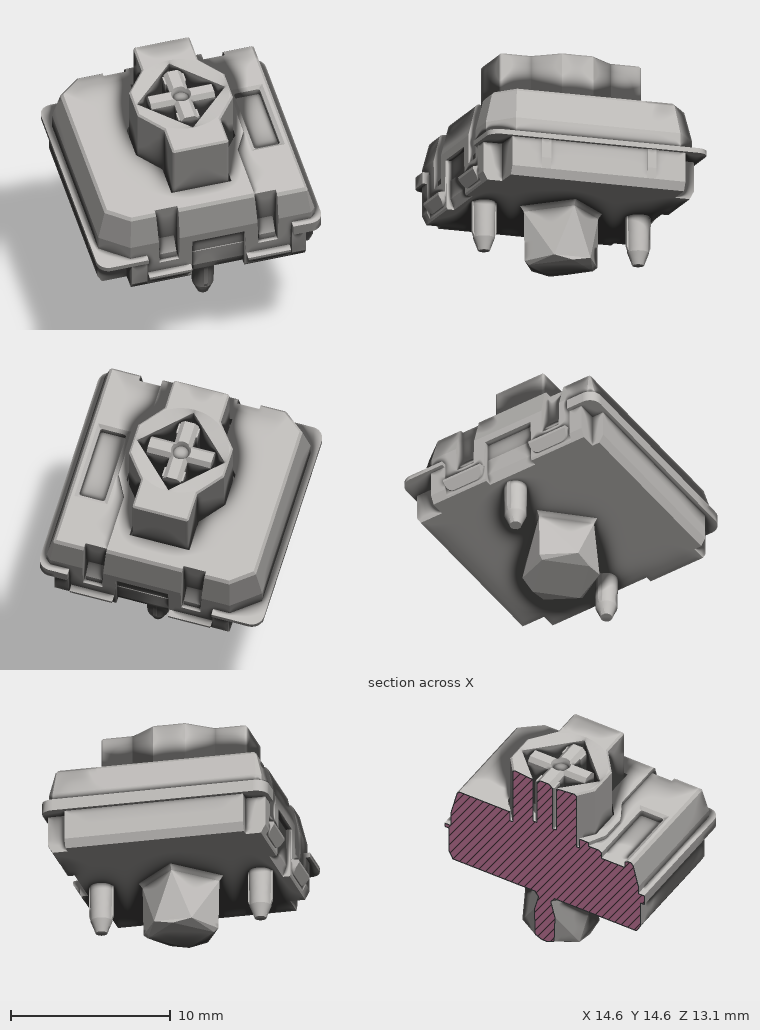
import cadquery as cq
import math


FLANGE_SIZE = 14.6
FLANGE_THICK = 0.3
FLANGE_CORNER = 0.8
REAR_LIP_TOP = 0.75

BASE_HALF_X = 7.02
BASE_HALF_Y = 7.01
BASE_BOTTOM = -2.42
BASE_CHAMFER_TOP = -1.88
BASE_CHAMFER_INSET = 0.29

COVER_HALF = 6.88
COVER_KNEE = 1.28
COVER_TOP = 3.35
STEP_DEPTH = 0.29
STEP_Y = 3.04
WALL_LEAN = 3.2 / 12.9
TOP_CHAMFER = 0.18

LATCH_CENTRES = (3.77, -2.64)
LATCH_HALF = 1.5
LATCH_WALL_X = 6.8
LEG_BOTTOM = -1.24
RECESS_X = 6.48
HOOK_BOTTOM = -2.12
NOTCH_X = 6.03
NOTCH_FLOOR = -0.55

STEM_TOP = 6.89
STEM_CHAMFER = 0.12
BAR_HALF_X = 4.72
BAR_HALF_Y = 1.82
BARREL_HALF_Y = 3.1
STEM_GAP = 0.13
GAP_DEPTH = 0.73
DISH_RADIUS = 3.01
BORE_RADIUS = 2.86

PEG_BOTTOM = -6.2
PIN_X = 5.14
PIN_TIP = -5.56



def prism(points, bottom, top):
    """Closed XY outline extruded between two heights."""
    return cq.Workplane("XY").workplane(offset=bottom).polyline(points).close().extrude(top - bottom)


def leaning_prism(points, bottom, top, inset):
    """Closed XY outline whose sides lean inward by the inset between two heights; top may be below bottom."""
    start = cq.Workplane("XY").workplane(offset=bottom).polyline(points).close()
    lean = math.degrees(math.atan2(inset, abs(top - bottom)))
    return start.extrude(top - bottom, taper=lean)


def inset_outline(half_x, half_y, front_cut_x, front_cut_y, rear_cut):
    """Rectangle with large bevels at the two front corners and small ones at the rear corners."""
    right = [
        (half_x - front_cut_x, -half_y),
        (half_x, -half_y + front_cut_y),
        (half_x, half_y - rear_cut),
        (half_x - rear_cut, half_y),
    ]
    left = [(-x, y) for x, y in reversed(right)]
    return right + left


def block(x_range, y_range, z_range):
    """Box given by its two limits on each axis."""
    corner = cq.Vector(x_range[0], y_range[0], z_range[0])
    size = (x_range[1] - x_range[0], y_range[1] - y_range[0], z_range[1] - z_range[0])
    return cq.Workplane(cq.Solid.makeBox(*size, corner))


def side_plate(points, centre_y, x_range):
    """(Y, Z) outline about a latch centre, extruded along X."""
    start = cq.Workplane("YZ").workplane(offset=x_range[0]).center(centre_y, 0)
    return start.polyline(points).close().extrude(x_range[1] - x_range[0])


def side_profile(points, centre_y, half_width):
    """(X, Z) profile extruded symmetrically along Y about a latch centre."""
    start = cq.Workplane("XZ", origin=(0, centre_y, 0))
    return start.polyline(points).close().extrude(half_width, both=True)


def both_sides(body):
    return body.union(body.mirror("YZ"))


def faceted_band(bottom_sides, bottom_radius, bottom, top_sides, top_radius, top):
    """Solid between two regular polygons with different side counts, joined by triangles."""
    def ring(sides, radius, z):
        step = 2 * math.pi / sides
        return [cq.Vector(radius * math.cos(k * step), radius * math.sin(k * step), z) for k in range(sides)]

    lower = ring(bottom_sides, bottom_radius, bottom)
    upper = ring(top_sides, top_radius, top)
    loops = [lower, upper]
    i = 0
    j = 0
    while i < bottom_sides or j < top_sides:
        low = lower[i % bottom_sides]
        high = upper[j % top_sides]
        low_gap = abs((i + 1) / bottom_sides - j / top_sides)
        high_gap = abs((j + 1) / top_sides - i / bottom_sides)
        if low_gap <= high_gap:
            i += 1
            loops.append([low, lower[i % bottom_sides], high])
        else:
            j += 1
            loops.append([low, upper[j % top_sides], high])
    faces = [cq.Face.makeFromWires(cq.Wire.makePolygon(loop, close=True)) for loop in loops]
    return cq.Workplane(cq.Solid.makeSolid(cq.Shell.makeShell(faces)))


def base_section(half_width):
    """Upright outline with its two bottom corners bevelled, as (across, Z) points."""
    foot = half_width - BASE_CHAMFER_INSET
    right = [
        (half_width, FLANGE_THICK),
        (half_width, BASE_CHAMFER_TOP),
        (foot, BASE_BOTTOM),
    ]
    return right + [(-across, z) for across, z in reversed(right)]


def base():
    narrow_half = 5.77
    wide_front = -5.11
    wide_rear = 6.2
    narrow = cq.Workplane("YZ").polyline(base_section(BASE_HALF_Y)).close().extrude(narrow_half, both=True)
    wide = cq.Workplane("XZ", origin=(0, wide_rear, 0)).polyline(base_section(BASE_HALF_X)).close()
    wide = wide.extrude(wide_rear - wide_front)
    return narrow.union(wide).union(front_ribs())


def front_ribs():
    """Two shallow upright ribs on the front face, fading into it at the bottom bevel."""
    rib_bottom = -1.2
    rib_height = 0.07
    rib_x = 3.5
    rib_half = 0.3
    face = -BASE_HALF_Y
    profile = [
        (0, FLANGE_THICK),
        (face - rib_height, FLANGE_THICK),
        (face - rib_height, rib_bottom),
        (face, BASE_CHAMFER_TOP),
        (0, BASE_CHAMFER_TOP),
    ]
    rib = cq.Workplane("YZ").polyline(profile).close().extrude(rib_half, both=True)
    return rib.translate((-rib_x, 0, 0)).union(rib.translate((rib_x, 0, 0)))


def flange():
    plate = cq.Workplane("XY").rect(FLANGE_SIZE, FLANGE_SIZE).extrude(REAR_LIP_TOP)
    plate = plate.edges("|Z").fillet(FLANGE_CORNER)
    half = FLANGE_SIZE / 2
    lip_front = LATCH_CENTRES[0] + LATCH_HALF
    return plate.cut(block((-half, half), (-half, lip_front), (FLANGE_THICK, REAR_LIP_TOP)))


COVER_OUTLINE = inset_outline(COVER_HALF, COVER_HALF, 1.4, 1.71, 0.32)


def cover_shell(top):
    lean_top = top - TOP_CHAMFER
    inset = WALL_LEAN * (lean_top - COVER_KNEE)
    band = prism(COVER_OUTLINE, 0, COVER_KNEE)
    walls = leaning_prism(COVER_OUTLINE, COVER_KNEE, lean_top, inset)
    rim = walls.faces(">Z").wires().toPending().workplane().extrude(TOP_CHAMFER, taper=45, combine=False)
    return band.union(walls).union(rim)


def cover():
    half = FLANGE_SIZE / 2
    bulge_y = 3.81
    bulge_outer = 2.35
    bulge_inner = 0.9
    region = [
        (-half, -half),
        (half, -half),
        (half, STEP_Y),
        (bulge_outer, STEP_Y),
        (bulge_inner, bulge_y),
        (-bulge_inner, bulge_y),
        (-bulge_outer, STEP_Y),
        (-half, STEP_Y),
    ]
    front = cover_shell(COVER_TOP).intersect(prism(region, 0, COVER_TOP))
    body = cover_shell(COVER_TOP - STEP_DEPTH).union(front)
    return body.cut(led_window())


def led_window():
    floor_size = (4.92, 1.68)
    rim_size = (5.39, 2.15)
    centre = (-0.3, 5.02)
    depth = 0.58
    rim_depth = 0.15
    top = COVER_TOP - STEP_DEPTH
    pocket = cq.Workplane("XY").workplane(offset=top - depth).center(*centre)
    pocket = pocket.rect(*floor_size).extrude(depth).edges("|Z").fillet(0.15)
    rim = cq.Workplane("XY").workplane(offset=top).center(*centre).rect(*rim_size)
    rim = rim.workplane(offset=-rim_depth).rect(*floor_size).loft(ruled=True)
    return pocket.union(rim)


def latch_clearance():
    """Space outside the side walls from the front latch to the rear one."""
    outside = FLANGE_SIZE
    rear, front = LATCH_CENTRES
    span = (front - LATCH_HALF + 0.06, rear + LATCH_HALF + 0.03)
    between = (front + LATCH_HALF, rear - LATCH_HALF)
    wall = block((LATCH_WALL_X, outside), span, (BASE_BOTTOM, REAR_LIP_TOP))
    foot = 0.25
    recess_profile = [
        (RECESS_X, REAR_LIP_TOP),
        (RECESS_X, NOTCH_FLOOR),
        (RECESS_X + 0.06, NOTCH_FLOOR),
        (RECESS_X + 0.06, -1.75),
        (RECESS_X + 0.06 - foot, BASE_BOTTOM),
        (outside, BASE_BOTTOM),
        (outside, REAR_LIP_TOP),
    ]
    recess = side_profile(recess_profile, sum(between) / 2, (between[1] - between[0]) / 2)
    return both_sides(wall.union(recess))


def latch_leg(centre_y):
    foot_half = 1.42
    points = [
        (-LATCH_HALF, REAR_LIP_TOP),
        (LATCH_HALF, REAR_LIP_TOP),
        (foot_half, LEG_BOTTOM),
        (-foot_half, LEG_BOTTOM),
    ]
    return side_plate(points, centre_y, (RECESS_X, COVER_HALF))


def latch_hook(centre_y):
    tip = FLANGE_SIZE / 2
    top_half = 1.4
    foot_half = 1.25
    foot_round = 0.51
    front = [
        (-top_half, LEG_BOTTOM),
        (top_half, LEG_BOTTOM),
        (foot_half, HOOK_BOTTOM),
        (-foot_half, HOOK_BOTTOM),
    ]
    rounded = side_plate(front, centre_y, (RECESS_X, tip)).edges("|X and <Z").fillet(foot_round)
    profile = [
        (RECESS_X, LEG_BOTTOM),
        (COVER_HALF, LEG_BOTTOM),
        (tip, LEG_BOTTOM - 0.07),
        (tip, LEG_BOTTOM - 0.25),
        (COVER_HALF, HOOK_BOTTOM),
        (RECESS_X, HOOK_BOTTOM),
    ]
    return rounded.intersect(side_profile(profile, centre_y, top_half))


def latch_notch(centre_y):
    """Slot through the cover wall at a latch, less the tooth of the base that stands inside it."""
    top_half = 0.73
    foot_half = 0.63
    opening = [
        (-top_half, COVER_TOP),
        (top_half, COVER_TOP),
        (foot_half, NOTCH_FLOOR),
        (-foot_half, NOTCH_FLOOR),
    ]
    slot = side_plate(opening, centre_y, (NOTCH_X, FLANGE_SIZE / 2))
    tooth_tip = 6.63
    tooth_half = 0.53
    tooth = [
        (NOTCH_X, REAR_LIP_TOP),
        (tooth_tip, -0.09),
        (tooth_tip, NOTCH_FLOOR),
        (NOTCH_X, NOTCH_FLOOR),
    ]
    return slot.cut(side_profile(tooth, centre_y, tooth_half))


def stem_outline(grow):
    """Bar along X with a faceted barrel in the middle, enlarged all round by grow."""
    shoulder_x = 2.67
    flat_x = 1.04
    quarter = [
        (BAR_HALF_X + grow, BAR_HALF_Y + grow),
        (shoulder_x + grow / 2, BAR_HALF_Y + grow),
        (flat_x + grow / 2, BARREL_HALF_Y + grow),
    ]
    rear = quarter + [(-x, y) for x, y in reversed(quarter)]
    return rear + [(-x, -y) for x, y in rear]


def stem():
    body = prism(stem_outline(0), COVER_TOP - GAP_DEPTH, STEM_TOP)
    bar_corner = 0.16
    body = body.edges("|Z and (>X or <X)").fillet(bar_corner)
    body = body.faces(">Z").chamfer(STEM_CHAMFER)
    dish_depth = 0.15
    barrel_top = cq.Workplane("XY").workplane(offset=STEM_TOP - dish_depth)
    dish = barrel_top.polygon(4, 2 * BORE_RADIUS).workplane(offset=dish_depth)
    dish = dish.circle(DISH_RADIUS).loft(ruled=True)
    bore = cq.Workplane("XY").workplane(offset=COVER_TOP).polygon(4, 2 * BORE_RADIUS)
    bore = bore.extrude(STEM_TOP - COVER_TOP)
    return body.cut(dish).cut(bore).union(keycap_cross())


def keycap_cross():
    arm_length = 2.07
    arm_half = 0.58
    top_half = 0.32
    bevel = arm_half - top_half
    rib_centre = 1.6
    rib_half = 0.34
    rib_reach = 0.69
    profile = [
        (-arm_half, COVER_TOP),
        (arm_half, COVER_TOP),
        (arm_half, STEM_TOP - bevel),
        (top_half, STEM_TOP),
        (-top_half, STEM_TOP),
        (-arm_half, STEM_TOP - bevel),
    ]
    arm_x = cq.Workplane("YZ").polyline(profile).close().extrude(arm_length, both=True)
    arm_y = cq.Workplane("XZ").polyline(profile).close().extrude(arm_length, both=True)
    cross = arm_x.union(arm_y)
    for x in (-rib_centre, rib_centre):
        rib = block((x - rib_half, x + rib_half), (-rib_reach, rib_reach), (COVER_TOP, STEM_TOP - bevel))
        cross = cross.union(rib)
    hole_depth = 0.36
    hole_rim = 0.63
    hole_floor = 0.47
    hole = cq.Solid.makeCone(hole_floor, hole_rim, hole_depth, cq.Vector(0, 0, STEM_TOP - hole_depth))
    return cross.cut(cq.Workplane(hole))


def peg():
    root = -2.77
    shoulder = -5.97
    flare = faceted_band(4, 2.48, root, 4, 2.73, BASE_BOTTOM)
    shaft = faceted_band(6, 2.42, shoulder, 4, 2.48, root)
    tip = faceted_band(4, 2.13, PEG_BOTTOM, 6, 2.42, shoulder)
    return flare.union(shaft).union(tip)


def pin():
    root_radius = 0.73
    shoulder_radius = 0.69
    tip_radius = 0.36
    shoulder = -4.75
    rib_reach = 0.79
    rib_half = 0.12
    rib_bottom = -4.38
    outline = [
        (0, BASE_BOTTOM),
        (root_radius, BASE_BOTTOM),
        (shoulder_radius, shoulder),
        (tip_radius, PIN_TIP),
        (0, PIN_TIP),
    ]
    body = cq.Workplane("XZ").polyline(outline).close().revolve(360, (0, 0, 0), (0, 1, 0))
    rib_profile = [
        (-rib_reach, BASE_BOTTOM),
        (rib_reach, BASE_BOTTOM),
        (rib_reach, rib_bottom),
        (tip_radius, PIN_TIP),
        (-tip_radius, PIN_TIP),
        (-rib_reach, rib_bottom),
    ]
    rib = cq.Workplane("XZ").polyline(rib_profile).close().extrude(rib_half, both=True)
    return body.union(rib)


result = base().union(flange()).union(cover()).cut(latch_clearance())
for latch_y in LATCH_CENTRES:
    result = result.union(both_sides(latch_leg(latch_y).union(latch_hook(latch_y))))
    result = result.cut(both_sides(latch_notch(latch_y)))
result = result.cut(prism(stem_outline(STEM_GAP), COVER_TOP - GAP_DEPTH, COVER_TOP))
result = result.union(stem()).union(peg())
for pin_x in (-PIN_X, PIN_X):
    result = result.union(pin().translate((pin_x, 0, 0)))